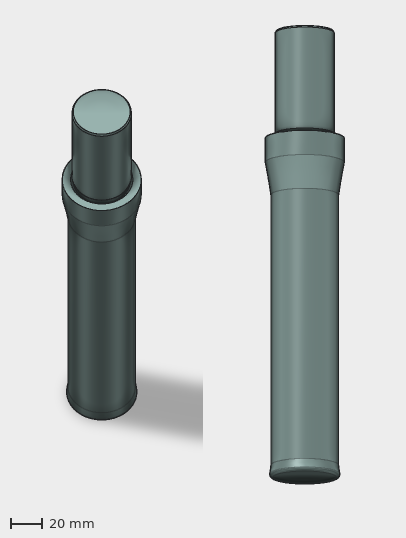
import cadquery as cq
import math

overall_height = 292.61
flare_top = 7.94
taper_bottom = 185.1
collar_bottom = 206.5
collar_top = 222.4
post_shoulder = 225.2

collar_radius = 25.4
barrel_radius = 21.8
flare_radius = 22.6
taper_hollow = 0.15
foot_rounding = 2.2

post_radius = 19.05
post_chamfer = 0.8
post_chamfer_height = 1.2
neck_radius = post_radius - post_chamfer
mouth_radius = 20.0
socket_depth = 12.7

socket_floor = collar_top - socket_depth
mouth_depth = mouth_radius - neck_radius


def taper_midpoint():
    """Point halfway along the taper, pushed inward square to its chord."""
    rise = collar_bottom - taper_bottom
    spread = collar_radius - barrel_radius
    chord = math.hypot(rise, spread)
    middle_radius = (collar_radius + barrel_radius) / 2
    middle_height = (collar_bottom + taper_bottom) / 2
    return (
        middle_radius - taper_hollow * rise / chord,
        middle_height + taper_hollow * spread / chord,
    )


def make_housing():
    """Barrel with a flared, rounded foot, a curved taper up to the collar and a countersunk blind socket."""
    profile = (
        cq.Workplane("XZ")
        .moveTo(0, 0)
        .lineTo(flare_radius - foot_rounding, 0)
        .radiusArc((flare_radius, foot_rounding), -foot_rounding)
        .lineTo(barrel_radius, flare_top)
        .lineTo(barrel_radius, taper_bottom)
        .threePointArc(taper_midpoint(), (collar_radius, collar_bottom))
        .lineTo(collar_radius, collar_top)
        .lineTo(mouth_radius, collar_top)
        .lineTo(neck_radius, collar_top - mouth_depth)
        .lineTo(neck_radius, socket_floor)
        .lineTo(0, socket_floor)
        .close()
    )
    return profile.revolve(360, (0, 0, 0), (0, 1, 0))


def make_post():
    """Round post, chamfered at both ends and stepped down to the neck that fills the socket."""
    profile = (
        cq.Workplane("XZ")
        .moveTo(0, socket_floor)
        .lineTo(neck_radius, socket_floor)
        .lineTo(neck_radius, post_shoulder - post_chamfer_height)
        .lineTo(post_radius, post_shoulder)
        .lineTo(post_radius, overall_height - post_chamfer_height)
        .lineTo(post_radius - post_chamfer, overall_height)
        .lineTo(0, overall_height)
        .close()
    )
    return profile.revolve(360, (0, 0, 0), (0, 1, 0))


housing = make_housing()
post = make_post()

result = cq.Compound.makeCompound([housing.val(), post.val()])